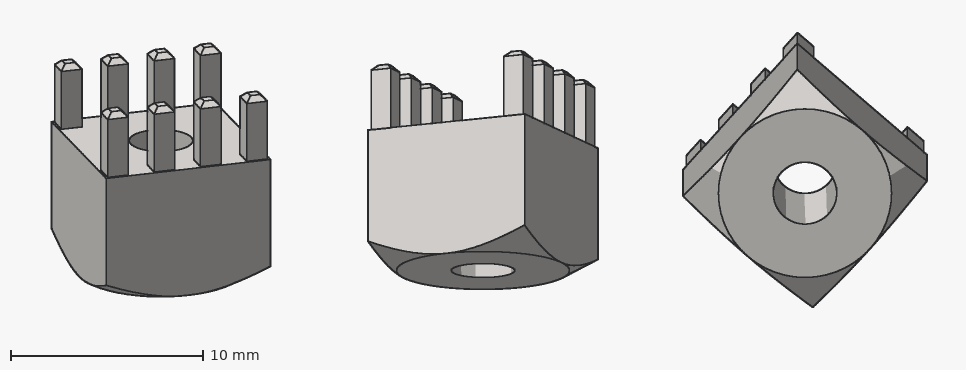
import cadquery as cq
import math

body_width = 9.0
body_height = 7.0
hole_diameter = 3.3
corner_cut_angle = 30.0

pin_pitch = 2.54
pins_per_row = 4
row_spacing = 3 * pin_pitch
pin_width = 1.13
pin_height = 3.5
tip_chamfer = 0.3
tip_width = pin_width - 2 * tip_chamfer


def make_body():
    block = cq.Workplane("XY").rect(body_width, body_width).extrude(body_height)
    inner_radius = body_width / 2
    outer_radius = body_width
    cone_height = (outer_radius - inner_radius) * math.tan(math.radians(corner_cut_angle))
    envelope = (
        cq.Workplane("XZ")
        .moveTo(0, 0)
        .lineTo(inner_radius, 0)
        .lineTo(outer_radius, cone_height)
        .lineTo(outer_radius, body_height)
        .lineTo(0, body_height)
        .close()
        .revolve(360, (0, 0, 0), (0, 1, 0))
    )
    hole = cq.Workplane("XY").circle(hole_diameter / 2).extrude(body_height)
    return block.intersect(envelope).cut(hole)


def make_pin(x, y):
    shank_top = body_height + pin_height - tip_chamfer
    shank = (
        cq.Workplane("XY", origin=(x, y, body_height))
        .rect(pin_width, pin_width)
        .extrude(pin_height - tip_chamfer)
    )
    tip = (
        cq.Workplane("XY", origin=(x, y, shank_top))
        .rect(pin_width, pin_width)
        .workplane(offset=tip_chamfer)
        .rect(tip_width, tip_width)
        .loft(ruled=True)
    )
    return shank.union(tip)


result = make_body()
for x in (-row_spacing / 2, row_spacing / 2):
    for index in range(pins_per_row):
        y = (index - (pins_per_row - 1) / 2) * pin_pitch
        result = result.union(make_pin(x, y))